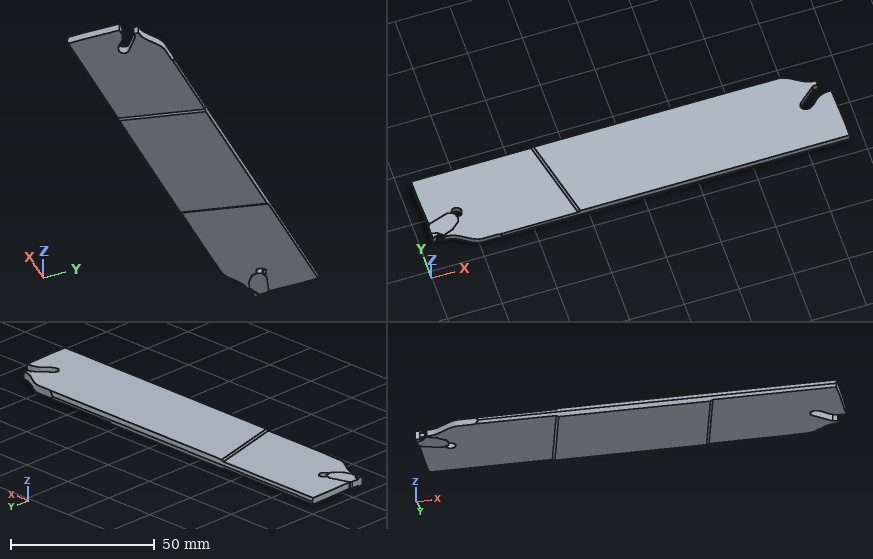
import cadquery as cq

LENGTH = 150.6
WIDTH = 30.5
THICKNESS = 3.5
HALF_LENGTH = LENGTH / 2
HALF_WIDTH = WIDTH / 2
HALF_THICKNESS = THICKNESS / 2

EDGE_RIDGE = 0.5
FACE_STEP = 0.5
STEP_RUN = 0.9
STEP_X_BACK = -31.2
STEP_X_FRONT = -23.5
HALF_THIN = HALF_THICKNESS - FACE_STEP
OVERSHOOT = 3.0

END_BEND_Y = -8.5
END_X = 74.8
END_Y = 4.4
NOSE_X = 71.1
NOSE_LOW_Y = 8.1
NOSE_HIGH_Y = 10.0
RELIEF_START = (51.5, HALF_WIDTH)
RELIEF_FLAT = [(53.5, 14.8), (58.7, 14.8)]
RELIEF_CURVE = [(61.3, 14.2), (66.4, 11.1), (NOSE_X, NOSE_HIGH_Y)]

HOLE_CENTER = (-64.2, -1.8)
HOLE_RADIUS = 1.8
INSERT_TOP = (-74.7, -3.5)
INSERT_FACE_Y = -4.5
INSERT_HEEL = (-71.7, -9.5)
RAKE_DISH = 0.5
HEAD_FACE_Y = -7.4
GROOVE_START_X = -73.6
GROOVE_WIDTH = 1.8
GROOVE_FLOOR_Y = -8.6


def prism(sketch, half_height):
    """Extrude a closed sketch equally above and below Z = 0."""
    return sketch.extrude(2 * half_height).translate((0, 0, -half_height))


def half_turn(points):
    return [(-x, -y) for x, y in points]


def trace_end(sketch, turn):
    """Draw one end from its end-face corner to the start of the nose relief."""
    def place(points):
        return half_turn(points) if turn else points

    straight = [
        (HALF_LENGTH, -HALF_WIDTH), (HALF_LENGTH, END_BEND_Y), (END_X, END_Y),
        (NOSE_X, NOSE_LOW_Y), (NOSE_X, NOSE_HIGH_Y),
    ]
    for point in place(straight):
        sketch = sketch.lineTo(*point)
    curve = [RELIEF_FLAT[1], *RELIEF_CURVE][::-1]
    sketch = sketch.spline(place(curve[1:]), includeCurrent=True)
    for point in place([RELIEF_FLAT[0], RELIEF_START]):
        sketch = sketch.lineTo(*point)
    return sketch


def edge_profile_bar():
    """Bar with a V-shaped ridge along both long edges."""
    face_y = HALF_WIDTH - EDGE_RIDGE
    section = [
        (-HALF_WIDTH, 0), (-face_y, HALF_THICKNESS), (face_y, HALF_THICKNESS),
        (HALF_WIDTH, 0), (face_y, -HALF_THICKNESS), (-face_y, -HALF_THICKNESS),
    ]
    return cq.Workplane("YZ").polyline(section).close().extrude(HALF_LENGTH, both=True)


def blade_outline():
    sketch = cq.Workplane("XY").moveTo(-RELIEF_START[0], -RELIEF_START[1])
    sketch = trace_end(sketch, turn=False)
    sketch = trace_end(sketch, turn=True)
    return prism(sketch.close(), THICKNESS)


def face_recess():
    """Cutter that thins the upper face at the -X end, with a sloping, skewed step."""
    slant = (STEP_X_FRONT - STEP_X_BACK) / WIDTH

    def outline(height, run):
        back_y = HALF_WIDTH + OVERSHOOT
        back_x = STEP_X_BACK - slant * OVERSHOOT + run
        front_x = STEP_X_FRONT + slant * OVERSHOOT + run
        end_x = -HALF_LENGTH - OVERSHOOT
        corners = [(end_x, back_y), (end_x, -back_y), (front_x, -back_y), (back_x, back_y)]
        return cq.Wire.makePolygon([cq.Vector(x, y, height) for x, y in corners], close=True)

    floor = outline(HALF_THIN, -STEP_RUN / 2)
    rim = outline(HALF_THICKNESS, STEP_RUN / 2)
    return cq.Workplane(cq.Solid.makeLoft([floor, rim], True))


def empty_pocket():
    """Open insert pocket through the +X end."""
    sketch = (
        cq.Workplane("XY")
        .moveTo(NOSE_X, NOSE_LOW_Y)
        .lineTo(69.3, 8.0)
        .lineTo(63.4, 3.0)
        .threePointArc((62.8, 1.0), (64.3, -0.2))
        .spline([(66.9, 0.8), (69.3, 3.0), (72.0, 4.2), (END_X, END_Y)], includeCurrent=True)
        .lineTo(HALF_LENGTH, NOSE_LOW_Y)
        .close()
    )
    return prism(sketch, THICKNESS)


def insert_body(half_height):
    """Insert outline, with a dished rake face on the -Y side."""
    tip_x = -HALF_LENGTH
    heel_x, heel_y = INSERT_HEEL
    sketch = (
        cq.Workplane("XY")
        .moveTo(*INSERT_TOP)
        .lineTo(tip_x, INSERT_FACE_Y)
        .lineTo(tip_x, heel_y)
        .threePointArc(((tip_x + heel_x) / 2, heel_y + RAKE_DISH), INSERT_HEEL)
        .lineTo(-67.6, -8.0)
        .lineTo(-64.9, -5.7)
        .threePointArc((-64.5, -3.8), (-65.2, -1.8))
        .lineTo(-67.5, -1.2)
        .close()
    )
    return prism(sketch, half_height)


def cutting_head():
    """Full-thickness corner of the insert along the rake face."""
    tip_x = -HALF_LENGTH
    heel_y = INSERT_HEEL[1]
    region = cq.Workplane("XY").polyline(
        [(tip_x, HEAD_FACE_Y), (-73.2, -8.0), INSERT_HEEL, (tip_x, heel_y)]
    ).close()
    return insert_body(HALF_THICKNESS).intersect(prism(region, HALF_THICKNESS))


def make_blade():
    blade = edge_profile_bar().intersect(blade_outline())
    upper_recess = face_recess()
    lower_recess = upper_recess.mirror("XY")
    blade = blade.cut(upper_recess).cut(lower_recess)
    blade = blade.cut(lower_recess.rotate((0, 0, 0), (0, 0, 1), 180))
    relief_hole = prism(cq.Workplane("XY").center(*HOLE_CENTER).circle(HOLE_RADIUS), THICKNESS)
    return blade.cut(empty_pocket()).cut(relief_hole).cut(insert_body(THICKNESS))


def chip_groove():
    """Cutter for the chip groove, open at the inner end of the rake face."""
    heel_x, heel_y = INSERT_HEEL
    region = cq.Workplane("XY").polyline([
        (GROOVE_START_X, heel_y), (GROOVE_START_X, GROOVE_FLOOR_Y), (heel_x, GROOVE_FLOOR_Y), INSERT_HEEL,
    ]).close()
    return prism(region, GROOVE_WIDTH / 2)


def make_insert():
    return insert_body(HALF_THIN).union(cutting_head()).cut(chip_groove())


blade = make_blade()
cutting_insert = make_insert()
result = cq.Compound.makeCompound([*blade.vals(), *cutting_insert.vals()])